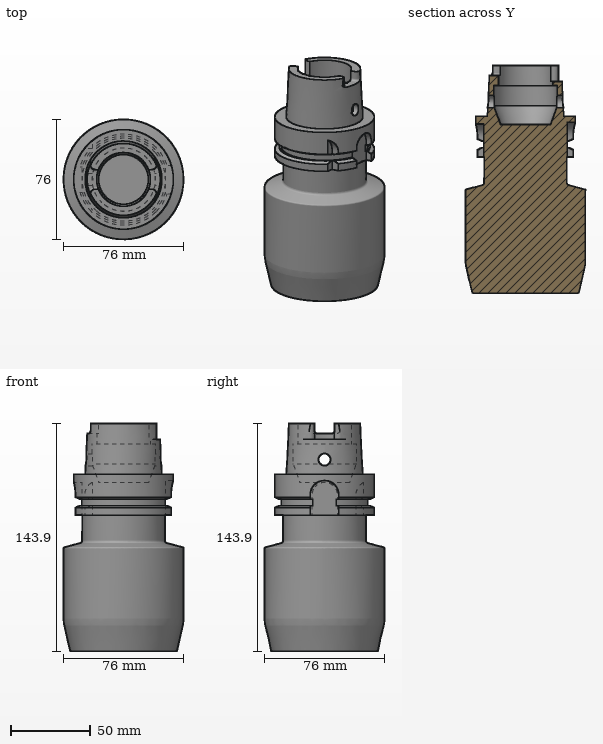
import cadquery as cq
import math


total_height = 143.9
shank_length = 32.0
flange_top_z = total_height - shank_length
flange_height = 25.9
flange_bottom_z = flange_top_z - flange_height

shank_base_radius = 24.3
shank_taper = 1 / 20
shank_top_radius = shank_base_radius - shank_length * shank_taper

flange_radius = 31.5
groove_radius = 27.5
groove_rim_z = flange_top_z - 14.5
groove_width = 6.7
groove_bevel_height = 1.3
groove_bevel_width = 2.7

neck_radius = 26.25
body_radius = 38.0
shoulder_slope = math.radians(15)
shoulder_outer_z = flange_top_z - 46.3
neck_root_fillet = 1.5
shoulder_fillet = 1.0

nose_cone_top_z = 18.4
nose_radius = 33.8
nose_blend_radius = 20.0
nose_edge_fillet = 0.8

bore_radius = 17.0
bore_depth = 12.7
cavity_radius = 20.0
cavity_wall_depth = 25.4
cavity_floor_radius = 15.7
cavity_cone_half_angle = math.radians(20)
cavity_cone_depth = (cavity_radius - cavity_floor_radius) / math.tan(cavity_cone_half_angle)

cross_hole_diameter = 7.5
cross_hole_z = flange_top_z + 9.2

notch_half_width = 6.25
notch_corner_radius = 2.8
notch_tangent_radius = 23.0
shallow_notch_depth = 6.2
shallow_notch_fillet = 1.5
deep_notch_depth = 10.0

keyway_arc_center_z = flange_top_z - 13.0
keyway_floor = 26.5
narrow_keyway_width = 16.0
wide_keyway_width = 18.0

side_notch_floor = 19.8
side_notch_edge_y = 19.7
side_notch_width = 18.0

clearance = 10.0


def ring_edge(solid, radius, z):
    """Select the circular edge of the given radius at the given height."""
    tolerance = 0.01

    def matches(edge):
        return (
            edge.geomType() == "CIRCLE"
            and abs(edge.radius() - radius) < tolerance
            and abs(edge.Center().z - z) < tolerance
        )

    return solid.edges().filter(matches)


def make_turned_body():
    shoulder_inner_z = shoulder_outer_z + (body_radius - neck_radius) * math.tan(shoulder_slope)
    groove_bevel_radius = flange_radius - groove_bevel_width
    groove_top_z = groove_rim_z - groove_bevel_height
    groove_lower_rim_z = groove_rim_z - groove_width
    groove_bottom_z = groove_lower_rim_z + groove_bevel_height
    body = (
        cq.Workplane("XZ")
        .moveTo(0, 0)
        .lineTo(nose_radius, 0)
        .lineTo(body_radius, nose_cone_top_z)
        .lineTo(body_radius, shoulder_outer_z)
        .lineTo(neck_radius, shoulder_inner_z)
        .lineTo(neck_radius, flange_bottom_z)
        .lineTo(flange_radius, flange_bottom_z)
        .lineTo(flange_radius, groove_lower_rim_z)
        .lineTo(groove_bevel_radius, groove_bottom_z)
        .lineTo(groove_radius, groove_bottom_z)
        .lineTo(groove_radius, groove_top_z)
        .lineTo(groove_bevel_radius, groove_top_z)
        .lineTo(flange_radius, groove_rim_z)
        .lineTo(flange_radius, flange_top_z)
        .lineTo(shank_base_radius, flange_top_z)
        .lineTo(shank_top_radius, total_height)
        .lineTo(0, total_height)
        .close()
        .revolve(360, (0, 0, 0), (0, 1, 0))
    )
    body = ring_edge(body, neck_radius, shoulder_inner_z).fillet(neck_root_fillet)
    body = ring_edge(body, body_radius, shoulder_outer_z).fillet(shoulder_fillet)
    body = ring_edge(body, body_radius, nose_cone_top_z).fillet(nose_blend_radius)
    return ring_edge(body, nose_radius, 0).fillet(nose_edge_fillet)


def make_bore():
    step_z = total_height - bore_depth
    wall_end_z = total_height - cavity_wall_depth
    floor_z = wall_end_z - cavity_cone_depth
    return (
        cq.Workplane("XZ")
        .moveTo(0, total_height)
        .lineTo(bore_radius, total_height)
        .lineTo(bore_radius, step_z)
        .lineTo(cavity_radius, step_z)
        .lineTo(cavity_radius, wall_end_z)
        .lineTo(cavity_floor_radius, floor_z)
        .lineTo(0, floor_z)
        .close()
        .revolve(360, (0, 0, 0), (0, 1, 0))
    )


def make_cross_hole():
    return (
        cq.Workplane("YZ")
        .center(0, cross_hole_z)
        .circle(cross_hole_diameter / 2)
        .extrude(body_radius, both=True)
    )


def make_notch(depth):
    """Drive notch on the +X side that flares around the rounded rim corners."""
    center_y = notch_half_width + notch_corner_radius
    center_distance = notch_tangent_radius - notch_corner_radius
    end_angle = math.asin(center_y / center_distance)
    center_x = center_distance * math.cos(end_angle)
    middle_angle = (end_angle - math.pi / 2) / 2

    def corner_point(angle):
        x = center_x + notch_corner_radius * math.cos(angle)
        y = center_y + notch_corner_radius * math.sin(angle)
        return x, y

    middle_x, middle_y = corner_point(middle_angle)
    end_x, end_y = corner_point(end_angle)
    flare_x = end_x - clearance * math.sin(end_angle)
    flare_y = end_y + clearance * math.cos(end_angle)
    outer_x = notch_tangent_radius + clearance
    return (
        cq.Workplane("XY", origin=(0, 0, total_height - depth))
        .moveTo(0, -notch_half_width)
        .lineTo(center_x, -notch_half_width)
        .threePointArc((middle_x, -middle_y), (end_x, -end_y))
        .lineTo(flare_x, -flare_y)
        .lineTo(outer_x, -flare_y)
        .lineTo(outer_x, flare_y)
        .lineTo(flare_x, flare_y)
        .lineTo(end_x, end_y)
        .threePointArc((middle_x, middle_y), (center_x, notch_half_width))
        .lineTo(0, notch_half_width)
        .close()
        .extrude(depth + clearance)
    )


def make_shallow_notch():
    notch = make_notch(shallow_notch_depth).faces("<Z").edges().fillet(shallow_notch_fillet)
    return notch.rotate((0, 0, 0), (0, 0, 1), 180)


def make_keyway(width, floor, center_y=0):
    """Round-topped slot on the +X side, open at the flange bottom, with a flat floor at X = floor."""
    radius = width / 2
    return (
        cq.Workplane("YZ", origin=(floor, center_y, 0))
        .moveTo(-radius, flange_bottom_z)
        .lineTo(radius, flange_bottom_z)
        .lineTo(radius, keyway_arc_center_z)
        .threePointArc((0, keyway_arc_center_z + radius), (-radius, keyway_arc_center_z))
        .close()
        .extrude(clearance + flange_radius - floor)
    )


def make_side_notch():
    center_y = side_notch_edge_y + side_notch_width / 2
    return make_keyway(side_notch_width, side_notch_floor, center_y).mirror("YZ")


result = (
    make_turned_body()
    .cut(make_bore())
    .cut(make_cross_hole())
    .cut(make_notch(deep_notch_depth))
    .cut(make_shallow_notch())
    .cut(make_keyway(wide_keyway_width, keyway_floor))
    .cut(make_keyway(narrow_keyway_width, keyway_floor).mirror("YZ"))
    .cut(make_side_notch())
)